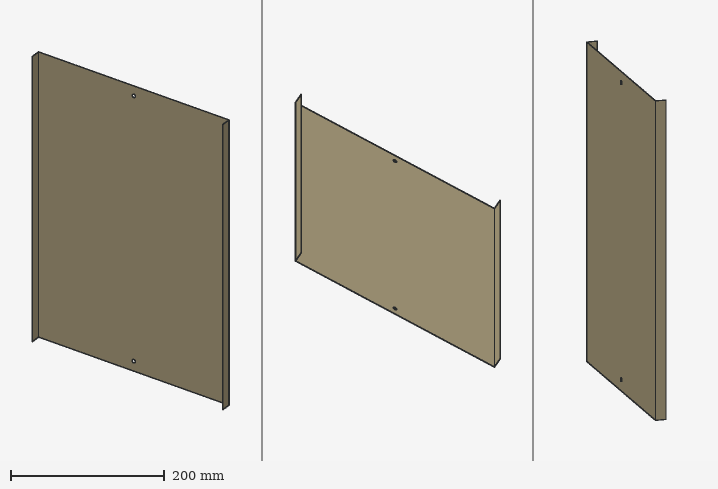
import cadquery as cq

width = 303.5
depth = 14.5
height = 431.0

sheet_thickness = 0.78
hole_diameter = 5.0
hole_edge_distance = 15.0

blank = cq.Workplane("XY").box(width, depth, height)
cavity_width = width - 2 * sheet_thickness
cavity = cq.Workplane("XY").box(cavity_width, depth, height).translate((0, -sheet_thickness, 0))
channel = blank.cut(cavity)

hole_height = height / 2 - hole_edge_distance
holes = (
    cq.Workplane("XZ")
    .pushPoints([(0, hole_height), (0, -hole_height)])
    .circle(hole_diameter / 2)
    .extrude(depth, both=True)
)

result = channel.cut(holes)